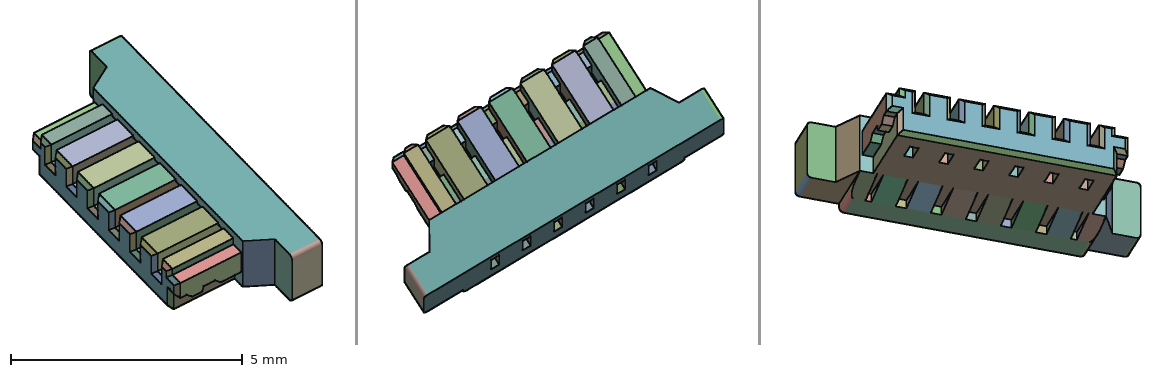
import cadquery as cq


total_width = 7.6
total_depth = 3.1
housing_height = 1.42
housing_depth = 1.4
housing_front_half_width = 2.805
wing_depth = 0.8
wing_root_half_width = 3.155
edge_size = 0.1

tongue_top = 1.215
shoulder_top = 1.025
flange_bottom = 0.42
flange_raised_bottom = 0.56
rib_half_width = 2.455
flange_half_width = 2.75
base_half_width = 2.5

latch_rear_foot = 1.94
latch_rear_top = 2.08
latch_front_top = 2.39
latch_front_foot = 2.43
lead_in_foot = 2.69
lead_in_top = 2.835

slot_count = 6
slot_pitch = 0.8
slot_width = 0.2
slot_floor = 0.67
slot_ceiling = 1.15
ramp_start = 1.71
rear_floor = 0.36
window_rear = 2.265
window_front = 2.65

pad_thickness = 0.205
pad_depth = 0.61
pad_edge_radius = 0.12
wedge_gap = 0.24
outer_wedge_inner_x = 2.41

slot_centers = [(i - (slot_count - 1) / 2) * slot_pitch for i in range(slot_count)]


def box(x_min, x_max, depth_min, depth_max, z_min, z_max):
    """Box between two distances in front of the back face."""
    return (
        cq.Workplane("XY")
        .box(x_max - x_min, depth_max - depth_min, z_max - z_min, centered=False)
        .translate((x_min, -depth_max, z_min))
    )


def side_prism(points, x_min, x_max):
    """Extrude a (distance from back face, z) outline along X."""
    outline = [(-depth, z) for depth, z in points]
    return (
        cq.Workplane("YZ", origin=(x_min, 0, 0))
        .polyline(outline)
        .close()
        .extrude(x_max - x_min)
    )


def mirrored_outline(right_half):
    """Close a right-hand outline with its mirror image about X = 0."""
    left_half = [(-x, v) for x, v in reversed(right_half)]
    return right_half + left_half


def make_housing():
    right_half = [
        (total_width / 2, 0),
        (total_width / 2, -wing_depth),
        (wing_root_half_width, -wing_depth),
        (housing_front_half_width, -housing_depth),
    ]
    housing = cq.Workplane("XY").polyline(mirrored_outline(right_half)).close().extrude(housing_height)
    wing_ends = housing.faces("<X or >X").edges("|Y")
    return wing_ends.fillet(edge_size)


def make_tongue():
    right_half = [
        (rib_half_width, tongue_top),
        (rib_half_width, shoulder_top),
        (flange_half_width, shoulder_top),
        (flange_half_width, flange_bottom),
        (base_half_width, flange_bottom),
        (base_half_width, 0),
    ]
    tongue = (
        cq.Workplane("XZ", origin=(0, -housing_depth, 0))
        .polyline(mirrored_outline(right_half))
        .close()
        .extrude(total_depth - housing_depth)
    )

    latch_notch = [
        (latch_rear_foot, flange_bottom),
        (latch_rear_top, flange_raised_bottom),
        (latch_front_top, flange_raised_bottom),
        (latch_front_foot, flange_bottom),
    ]
    lead_in = [
        (lead_in_foot, flange_bottom),
        (lead_in_top, flange_raised_bottom),
        (total_depth, flange_raised_bottom),
        (total_depth, flange_bottom),
    ]
    for x_min, x_max in ((-flange_half_width, -base_half_width), (base_half_width, flange_half_width)):
        for outline in (latch_notch, lead_in):
            tongue = tongue.cut(side_prism(outline, x_min, x_max))

    for x in slot_centers:
        left = x - slot_width / 2
        right = x + slot_width / 2
        tongue = tongue.cut(box(left, right, housing_depth, total_depth, slot_floor, tongue_top))
    return tongue.faces("<Y").chamfer(edge_size)


def make_underside():
    half_width = housing_front_half_width
    profile = [(0, 0), (0, -pad_thickness), (pad_depth, -pad_thickness), (housing_depth, 0)]
    underside = side_prism(profile, -half_width, half_width)
    underside = underside.faces("<X or >X").edges("<Z").fillet(pad_edge_radius)

    inner_gaps = [
        (x + slot_pitch / 2 - wedge_gap / 2, x + slot_pitch / 2 + wedge_gap / 2) for x in slot_centers[:-1]
    ]
    outer_gap_inner_x = (slot_count * slot_pitch - wedge_gap) / 2
    outer_gaps = [
        (-outer_wedge_inner_x, -outer_gap_inner_x),
        (outer_gap_inner_x, outer_wedge_inner_x),
    ]
    for left, right in inner_gaps + outer_gaps:
        underside = underside.cut(box(left, right, pad_depth, housing_depth, -pad_thickness, 0))
    return underside


def make_contact_passage(x):
    """Passage through the housing with a ramped floor, plus the window in the tongue floor."""
    left = x - slot_width / 2
    right = x + slot_width / 2
    passage = [
        (0, slot_ceiling),
        (ramp_start, slot_ceiling),
        (ramp_start, slot_floor),
        (0, rear_floor),
    ]
    window = box(left, right, window_rear, window_front, 0, slot_floor)
    return side_prism(passage, left, right).union(window)


result = make_housing().union(make_tongue()).union(make_underside())
for slot_x in slot_centers:
    result = result.cut(make_contact_passage(slot_x))